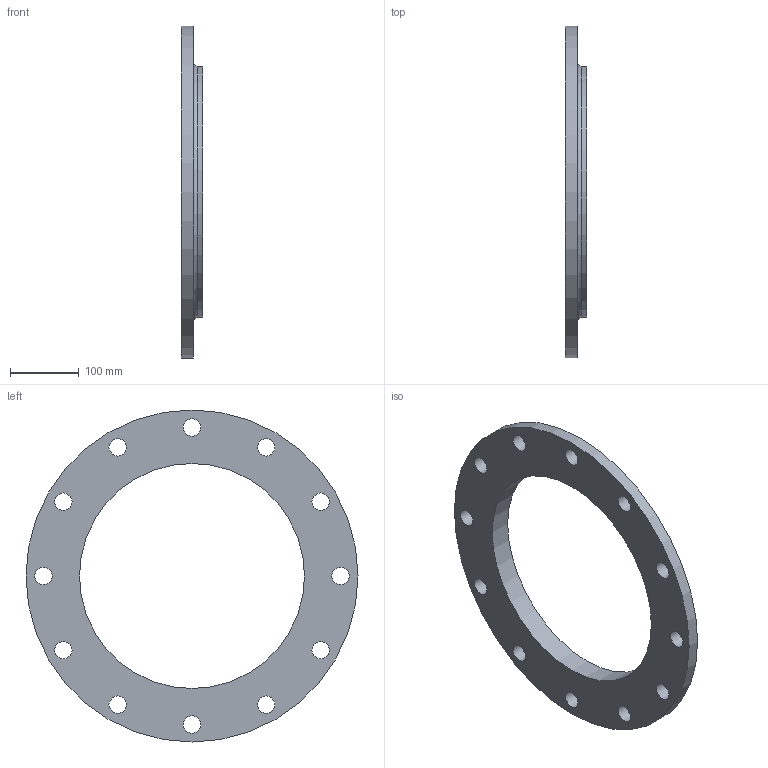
import cadquery as cq

overall_length = 31.75
flange_diameter = 482.6
flange_thickness = 17.4625
hub_diameter = 365.125
hub_fillet_radius = 6.35
bore_diameter = 327.15

bolt_hole_count = 12
bolt_hole_diameter = 25.4
bolt_circle_diameter = 431.8


def ring_with_hub():
    """Revolve the half section (X along the axis, Y as radius) about the X axis."""
    bore_radius = bore_diameter / 2
    hub_radius = hub_diameter / 2
    flange_radius = flange_diameter / 2
    fillet_end_x = flange_thickness + hub_fillet_radius
    fillet_start_radius = hub_radius + hub_fillet_radius
    section = (
        cq.Workplane("XY")
        .moveTo(0, bore_radius)
        .lineTo(0, flange_radius)
        .lineTo(flange_thickness, flange_radius)
        .lineTo(flange_thickness, fillet_start_radius)
        .radiusArc((fillet_end_x, hub_radius), -hub_fillet_radius)
        .lineTo(overall_length, hub_radius)
        .lineTo(overall_length, bore_radius)
        .close()
    )
    return section.revolve(360, (0, 0, 0), (1, 0, 0))


def bolt_holes():
    """Cylinders evenly spaced on the bolt circle, through the flange thickness."""
    return (
        cq.Workplane("YZ")
        .polarArray(bolt_circle_diameter / 2, 0, 360, bolt_hole_count)
        .circle(bolt_hole_diameter / 2)
        .extrude(flange_thickness)
    )


result = ring_with_hub().cut(bolt_holes())